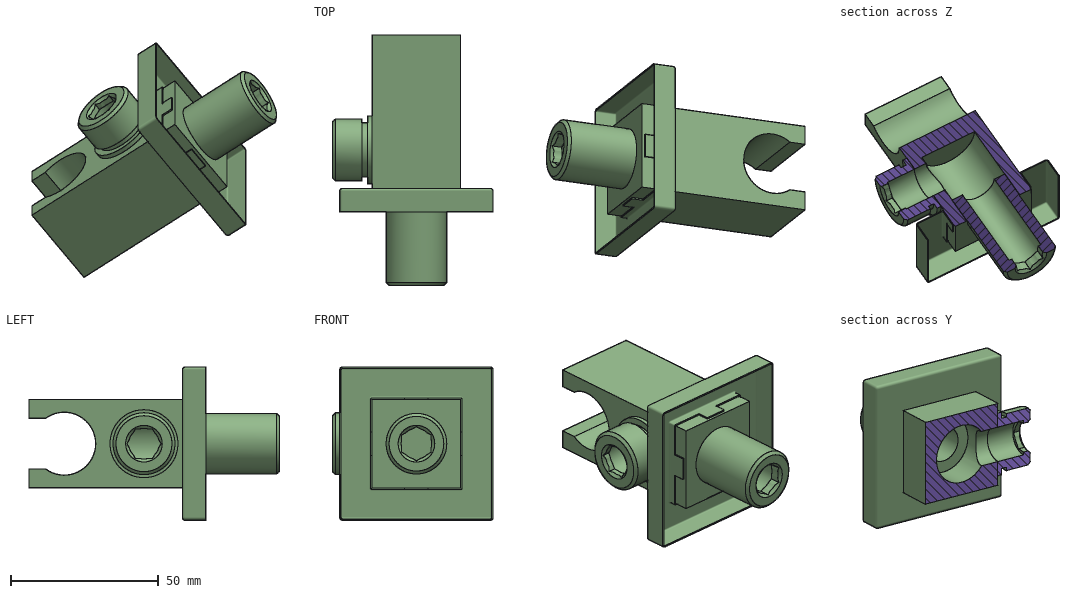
import cadquery as cq
import math


PLATE_SIZE = 52.0
PLATE_DEPTH = 8.0
WALL = 0.5
INNER_FILLET = WALL
OUTER_FILLET = INNER_FILLET + WALL

COLLAR_SETBACK = 5.0
TAB_SETBACK = 1.0
TAB_WIDTH = 8.0

BLOCK_SIZE = 30.0
BLOCK_BACK = 60.0
CRADLE_DIAMETER = 21.25
CRADLE_SETBACK = 12.0
CRADLE_Y = BLOCK_BACK - CRADLE_SETBACK
MOUTH_HEIGHT = 17.1

BORE_DIAMETER = 12.4
PASSAGE_DEPTH = 30.0
OUTLET_Y = 21.0

END_CHAMFER = 1.0
HEX_SIDES = 6
HEX_FLATS = 10.0
STUD_HEX_DEPTH = 4.0
OUTLET_HEX_DEPTH = 3.0
HEX_PILOT_DIAMETER = 10.4

OVERALL_LENGTH = 85.0
STUD_DIAMETER = 20.6
STUD_PROTRUSION = OVERALL_LENGTH - BLOCK_BACK
STUD_SEAT_DEPTH = 10.0

FLANGE_DIAMETER = 23.0
FLANGE_THICKNESS = 1.5
NECK_DIAMETER = 18.5
NECK_LENGTH = 1.95
OUTLET_DIAMETER = 21.0
OUTLET_HEAD_LENGTH = 10.0


def square_bar(size, y_front, y_back):
    """Square bar along Y, centred on the stud axis."""
    length = y_back - y_front
    bar = cq.Workplane("XY").box(size, length, size, centered=(True, False, True))
    return bar.translate((0, y_front, 0))


def rod(diameter, z_start, length):
    """Round rod along Z."""
    return cq.Workplane("XY").workplane(offset=z_start).circle(diameter / 2).extrude(length)


def make_plate():
    """Shell with a collar around the block and a tab in the middle of each collar side."""
    opening = PLATE_SIZE - 2 * WALL
    collar_size = BLOCK_SIZE + 2 * WALL
    floor_y = PLATE_DEPTH - WALL

    plate = square_bar(PLATE_SIZE, 0, PLATE_DEPTH)
    plate = plate.edges("|Y or >Y").fillet(OUTER_FILLET)
    cavity = square_bar(opening, 0, floor_y).edges("|Y or >Y").fillet(INNER_FILLET)
    plate = plate.cut(cavity)

    collar = square_bar(collar_size, COLLAR_SETBACK, PLATE_DEPTH).edges("|Y").fillet(WALL)
    plate = plate.union(collar)
    reach = collar_size / 2 + WALL / 2
    floor_around_collar = cq.selectors.BoxSelector(
        (-reach, floor_y - WALL / 2, -reach), (reach, floor_y + WALL / 4, reach)
    )
    plate = plate.edges(floor_around_collar).fillet(INNER_FILLET)

    tab_length = COLLAR_SETBACK - TAB_SETBACK
    for width, height in ((TAB_WIDTH, collar_size), (collar_size, TAB_WIDTH)):
        tabs = cq.Workplane("XY").box(width, tab_length, height, centered=(True, False, True))
        plate = plate.union(tabs.translate((0, TAB_SETBACK, 0)))
    return plate.cut(square_bar(BLOCK_SIZE, 0, PLATE_DEPTH))


def make_block():
    """Square block with a rear cradle, a front passage for the stud and a side outlet bore."""
    block = square_bar(BLOCK_SIZE, 0, BLOCK_BACK)

    cradle = rod(CRADLE_DIAMETER, -BLOCK_SIZE / 2, BLOCK_SIZE)
    cradle = cradle.rotate((0, 0, 0), (0, 1, 0), 90).translate((0, CRADLE_Y, 0))
    mouth = cq.Workplane("XY").box(
        BLOCK_SIZE, BLOCK_BACK - CRADLE_Y, MOUTH_HEIGHT, centered=(True, False, True)
    )
    block = block.cut(cradle).cut(mouth.translate((0, CRADLE_Y, 0)))

    passage = rod(STUD_DIAMETER, 0, PASSAGE_DEPTH).rotate((0, 0, 0), (1, 0, 0), -90)
    outlet_bore = rod(BORE_DIAMETER, 0, BLOCK_SIZE / 2)
    outlet_bore = outlet_bore.rotate((0, 0, 0), (0, 1, 0), -90).translate((0, OUTLET_Y, 0))
    return block.cut(passage).cut(outlet_bore)


def cut_socket(body, length, hex_depth):
    """Cut a countersunk hexagon socket into the +Z end of a body, with a bore behind it."""
    hex_floor = length - hex_depth
    hex_corners = HEX_FLATS / math.cos(math.pi / HEX_SIDES)
    hexagon = cq.Workplane("XY").workplane(offset=hex_floor).polygon(HEX_SIDES, hex_corners)
    hexagon = hexagon.extrude(hex_depth).rotate((0, 0, 0), (0, 0, 1), 90)
    pilot = rod(HEX_PILOT_DIAMETER, hex_floor, hex_depth)
    sink_depth = (BORE_DIAMETER - HEX_PILOT_DIAMETER) / 2
    countersink = cq.Workplane(
        cq.Solid.makeCone(
            HEX_PILOT_DIAMETER / 2, BORE_DIAMETER / 2, sink_depth, cq.Vector(0, 0, length - sink_depth)
        )
    )
    bore = rod(BORE_DIAMETER, 0, hex_floor)
    return body.cut(hexagon).cut(pilot).cut(countersink).cut(bore)


def make_stud():
    """Hollow stud that starts inside the block's passage and points toward -Y."""
    length = STUD_SEAT_DEPTH + STUD_PROTRUSION
    stud = rod(STUD_DIAMETER, 0, length).faces(">Z").chamfer(END_CHAMFER)
    stud = cut_socket(stud, length, STUD_HEX_DEPTH)
    return stud.rotate((0, 0, 0), (1, 0, 0), 90).translate((0, STUD_SEAT_DEPTH, 0))


def make_outlet():
    """Flanged outlet that stands on the -X side of the block."""
    head_start = FLANGE_THICKNESS + NECK_LENGTH
    length = head_start + OUTLET_HEAD_LENGTH
    head = rod(OUTLET_DIAMETER, head_start, OUTLET_HEAD_LENGTH).faces(">Z").chamfer(END_CHAMFER)
    outlet = rod(FLANGE_DIAMETER, 0, FLANGE_THICKNESS)
    outlet = outlet.union(rod(NECK_DIAMETER, FLANGE_THICKNESS, NECK_LENGTH)).union(head)
    outlet = cut_socket(outlet, length, OUTLET_HEX_DEPTH)
    outlet = outlet.rotate((0, 0, 0), (0, 1, 0), -90)
    return outlet.translate((-BLOCK_SIZE / 2, OUTLET_Y, 0))


plate = make_plate()
block = make_block()
stud = make_stud()
outlet = make_outlet()

result = cq.Compound.makeCompound([plate.val(), block.val(), stud.val(), outlet.val()])